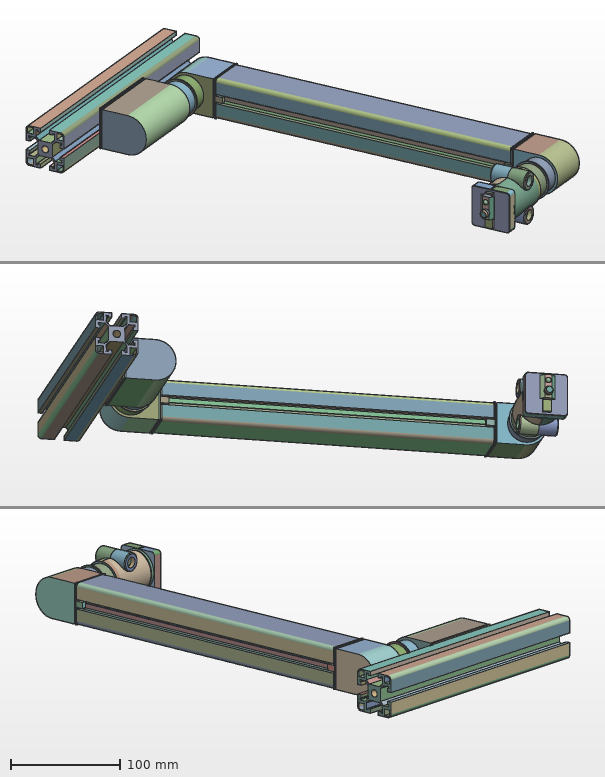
import cadquery as cq

TOTAL_LENGTH = 460.0
PROFILE = 40.0
POST_LENGTH = 250.0
JOINT = 39.0
JOINT_REACH = 30.0
CAP_THICKNESS = 1.5
CAP_GROOVE = 1.5
CAP_GROOVE_DEPTH = 0.5
PIVOT_DIAMETER = 34.0
PIVOT_LENGTH = 30.0
RING_DIAMETER = 37.3
RING_THICKNESS = 1.5

CORNER_RADIUS = 3.5
SLOT_WIDTH = 9.0
LIP_THICKNESS = 4.0
LIP_WIDTH = 3.0
SKIN = 2.8
CHANNEL_WIDTH = 19.5
CHANNEL_SHOULDER = 11.0
CHANNEL_FLOOR_WIDTH = 12.5
CORE = 15.0
CORE_BORE = 7.0
CHAMBER_START = 12.5
CHAMBER_WALL = 1.5
FLOOR_GROOVE_WIDTH = 4.0
FLOOR_GROOVE_DEPTH = 1.5

NUT_LENGTH = 22.5
TONGUE_WIDTH = 6.0
TONGUE_LENGTH = 7.0
ANCHOR_WIDTH = 15.0
ANCHOR_THICKNESS = 1.5
ANCHOR_RIDGE_WIDTH = 11.0
ANCHOR_RIDGE_HEIGHT = 5.5
ANCHOR_RIDGE_LENGTH = 18.5

TOTAL_HEIGHT = 52.0
CLAMP_BOTTOM_Y = -30.0
CLAMP_SHELF_Y = -26.5
CLAMP_GAP = 1.0
CLAMP_CORNER_RADIUS = 3.5
CLAMP_TAPER_LENGTH = 4.0
CLAMP_TAPER_INSET = 0.7
BOSS_DIAMETER = 18.0
BOSS_LENGTH = 36.5
BOSS_CHAMFER = 1.0
SCREW_HOLE_DIAMETER = 10.0
SCREW_HOLE_DEPTH = 4.5

PLATE_THICKNESS = 9.5
PLATE_CORNER_RADIUS = 3.0
PLATE_CHAMFER = 0.5
PLATE_MARK_WIDTH = 1.0
PLATE_MARK_DEPTH = 0.5
RAIL_WIDTH = 8.0
RAIL_LENGTH = 35.0
RAIL_DEPTH = 3.0
TOOL_NUT_OFFSET = 4.85
TOOL_NUT_WIDTH = 14.0
TOOL_NUT_FACE_WIDTH = 7.0
TOOL_NUT_SEAT = 5.0
TOOL_NUT_TAPER = 3.5
SCREW_DIAMETER = 8.0
SCREW_LENGTH = 14.0
SCREW_TIP_LENGTH = 2.5
SCREW_TIP_INSET = 1.0
BALL_DIAMETER = 5.0
BALL_HEIGHT = 10.5

HALF = PROFILE / 2
POST_X = -TOTAL_LENGTH / 2 + HALF
POST_FACE_X = POST_X + HALF
NEAR_PIVOT_X = POST_FACE_X + JOINT_REACH
FAR_PIVOT_X = TOTAL_LENGTH / 2 - HALF
MOUNT_LENGTH = 2 * PROFILE
MOUNT_TOP_Y = PROFILE / 2
MOUNT_CENTRE_Y = MOUNT_TOP_Y - MOUNT_LENGTH / 2
ARM_Y = MOUNT_TOP_Y + PIVOT_LENGTH + HALF
ARM_START_X = NEAR_PIVOT_X + JOINT_REACH
ARM_LENGTH = FAR_PIVOT_X - JOINT_REACH - ARM_START_X
BOSS_Z = (TOTAL_HEIGHT - BOSS_DIAMETER) / 2
PLATE_FACE_Y = CLAMP_BOTTOM_Y - PLATE_THICKNESS


def along_y(diameter, start_y, end_y, x):
    """Cylinder parallel to Y between two Y positions."""
    plane = cq.Plane(origin=(x, start_y, 0), xDir=(1, 0, 0), normal=(0, 1, 0))
    return cq.Workplane(plane).circle(diameter / 2).extrude(end_y - start_y)


def slot_channel(length):
    """Undercut channel behind one side of the section, on the +Y side."""
    floor = CHANNEL_FLOOR_WIDTH / 2
    wall = CHANNEL_WIDTH / 2
    lip = SLOT_WIDTH / 2 + LIP_WIDTH
    right_side = [
        (floor, CORE / 2),
        (wall, CHANNEL_SHOULDER),
        (wall, HALF - SKIN),
        (lip, HALF - SKIN),
        (lip, HALF - LIP_THICKNESS),
    ]
    left_side = [(-x, y) for x, y in reversed(right_side)]
    return cq.Workplane("XY").polyline(right_side + left_side).close().extrude(length)


def slot_mouth(length):
    """Opening of a slot through the lips, on the +Y side."""
    mouth_y = HALF - LIP_THICKNESS / 2
    return cq.Workplane("XY").center(0, mouth_y).rect(SLOT_WIDTH, LIP_THICKNESS).extrude(length)


def corner_chamber(length):
    """Hollow of one corner of the section."""
    size = HALF - CHAMBER_WALL - CHAMBER_START
    centre = CHAMBER_START + size / 2
    chamber = cq.Workplane("XY").center(centre, centre).rect(size, size).extrude(length)
    return chamber.edges("|Z and >X and >Y").fillet(CORNER_RADIUS - CHAMBER_WALL)


def extrusion(length, open_sides):
    """Slotted square extrusion along +Z; open_sides are the angles from +Y of the open slots."""
    body = cq.Workplane("XY").rect(PROFILE, PROFILE).extrude(length)
    body = body.edges("|Z").fillet(CORNER_RADIUS)
    body = body.cut(cq.Workplane("XY").circle(CORE_BORE / 2).extrude(length))
    for angle in (0, 90, 180, 270):
        body = body.cut(slot_channel(length).rotate((0, 0, 0), (0, 0, 1), angle))
        body = body.cut(corner_chamber(length).rotate((0, 0, 0), (0, 0, 1), angle))
    for angle in open_sides:
        body = body.cut(slot_mouth(length).rotate((0, 0, 0), (0, 0, 1), angle))
    return body


def build_post():
    """Extrusion along Y with a slot in all four sides."""
    body = extrusion(POST_LENGTH, (0, 90, 180, 270))
    return body.rotate((0, 0, 0), (1, 0, 0), 90).translate((POST_X, POST_LENGTH / 2, 0))


def build_arm():
    """Extrusion along X with slots in the two Y sides and a groove in each slot floor."""
    body = extrusion(ARM_LENGTH, (0, 180))
    grooves = (
        cq.Workplane("XY")
        .pushPoints([(0, CORE / 2), (0, -CORE / 2)])
        .rect(FLOOR_GROOVE_WIDTH, 2 * FLOOR_GROOVE_DEPTH)
        .extrude(ARM_LENGTH)
    )
    body = body.cut(grooves).rotate((0, 0, 0), (0, 1, 0), 90)
    return body.translate((ARM_START_X, ARM_Y, 0))


def joint_block(length):
    """D-shaped block centred on the origin, pivot axis along Y, flat capped end toward +X."""
    groove_end = JOINT_REACH - CAP_THICKNESS
    flat = groove_end - CAP_GROOVE
    block = cq.Workplane("XY").box(flat, length, JOINT).translate((flat / 2, 0, 0))
    block = block.union(along_y(JOINT, -length / 2, length / 2, 0))
    neck = cq.Workplane("XY").box(
        CAP_GROOVE, length - 2 * CAP_GROOVE_DEPTH, JOINT - 2 * CAP_GROOVE_DEPTH
    )
    block = block.union(neck.translate((flat + CAP_GROOVE / 2, 0, 0)))
    cap = cq.Workplane("XY").box(CAP_THICKNESS, length, PROFILE)
    return block.union(cap.translate((groove_end + CAP_THICKNESS / 2, 0, 0)))


def slot_anchor():
    """Tongue, flange and pointed ridge that hold the mount in the post's slot."""
    face = cq.Plane(origin=(POST_FACE_X, MOUNT_CENTRE_Y, 0), xDir=(0, 0, 1), normal=(-1, 0, 0))
    flange_top = LIP_THICKNESS + ANCHOR_THICKNESS
    tongue = cq.Workplane(face).rect(TONGUE_WIDTH, NUT_LENGTH).extrude(LIP_THICKNESS)
    flange = (
        cq.Workplane(face)
        .workplane(offset=LIP_THICKNESS)
        .rect(ANCHOR_WIDTH, NUT_LENGTH)
        .extrude(ANCHOR_THICKNESS)
    )
    base_x = POST_FACE_X - flange_top
    ridge_end = cq.Plane(
        origin=(base_x, MOUNT_CENTRE_Y + ANCHOR_RIDGE_LENGTH / 2, 0), xDir=(1, 0, 0), normal=(0, -1, 0)
    )
    ridge = (
        cq.Workplane(ridge_end)
        .polyline([
            (0, ANCHOR_RIDGE_WIDTH / 2),
            (-ANCHOR_RIDGE_HEIGHT, 0),
            (0, -ANCHOR_RIDGE_WIDTH / 2),
        ])
        .close()
        .extrude(ANCHOR_RIDGE_LENGTH)
    )
    return tongue.union(flange).union(ridge)


def build_mount():
    """Joint block on the post, held by an anchor in the post's slot."""
    block = joint_block(MOUNT_LENGTH).rotate((0, 0, 0), (0, 1, 0), 180)
    block = block.translate((NEAR_PIVOT_X, MOUNT_CENTRE_Y, 0))
    return block.union(slot_anchor())


def build_bracket(pivot_x, facing):
    """Joint block at one arm end with its pivot; facing is the angle of its flat end about Y."""
    block = joint_block(PROFILE)
    tongue = cq.Workplane("XY").box(TONGUE_LENGTH, LIP_THICKNESS, TONGUE_WIDTH)
    for side in (-1, 1):
        tongue_y = side * (HALF - LIP_THICKNESS / 2)
        block = block.union(tongue.translate((JOINT_REACH + TONGUE_LENGTH / 2, tongue_y, 0)))
    block = block.rotate((0, 0, 0), (0, 1, 0), facing).translate((pivot_x, ARM_Y, 0))
    pivot_end = MOUNT_TOP_Y + PIVOT_LENGTH
    ring_start = MOUNT_TOP_Y + (PIVOT_LENGTH - RING_THICKNESS) / 2
    pivot = along_y(PIVOT_DIAMETER, MOUNT_TOP_Y, pivot_end, pivot_x)
    ring = along_y(RING_DIAMETER, ring_start, ring_start + RING_THICKNESS, pivot_x)
    return block.union(pivot).union(ring)


def clamp_blank():
    """Whole clamp before it is split: tapered cylinder with two crosswise screw bosses."""
    body = along_y(JOINT, CLAMP_BOTTOM_Y, MOUNT_TOP_Y, FAR_PIVOT_X)
    body = body.faces(">Y").chamfer(CLAMP_TAPER_LENGTH, CLAMP_TAPER_INSET)
    boss_start = FAR_PIVOT_X - BOSS_LENGTH / 2
    for boss_z in (-BOSS_Z, BOSS_Z):
        boss = (
            cq.Workplane("YZ", origin=(boss_start, 0, boss_z))
            .circle(BOSS_DIAMETER / 2)
            .extrude(BOSS_LENGTH)
            .faces("<X or >X")
            .chamfer(BOSS_CHAMFER)
        )
        body = body.union(boss)
    for boss_z in (-BOSS_Z, BOSS_Z):
        for hole_start in (boss_start, boss_start + BOSS_LENGTH - SCREW_HOLE_DEPTH):
            hole = (
                cq.Workplane("YZ", origin=(hole_start, 0, boss_z))
                .circle(SCREW_HOLE_DIAMETER / 2)
                .extrude(SCREW_HOLE_DEPTH)
            )
            body = body.cut(hole)
    return body


def loose_half_space(bottom_y):
    """Space on the -X side of the pivot axis down to bottom_y, with a rounded inner corner."""
    height = MOUNT_TOP_Y - bottom_y
    centre = (FAR_PIVOT_X - HALF, bottom_y + height / 2, 0)
    space = cq.Workplane("XY").box(PROFILE, height, 2 * TOTAL_HEIGHT).translate(centre)
    return space.edges("|Z and >X and <Y").fillet(CLAMP_CORNER_RADIUS)


def build_fixed_clamp():
    """Half of the clamp with the full-round base below the shelf."""
    return clamp_blank().cut(loose_half_space(CLAMP_SHELF_Y))


def build_loose_clamp():
    """Half of the clamp that stands a small gap above the shelf."""
    return clamp_blank().intersect(loose_half_space(CLAMP_SHELF_Y + CLAMP_GAP))


def tool_nut():
    """Tapered nut on the plate face, long in Z, with its stem."""
    top_z = TOOL_NUT_OFFSET + NUT_LENGTH / 2
    seat_y = PLATE_FACE_Y - TOOL_NUT_SEAT
    face_y = seat_y - TOOL_NUT_TAPER
    outline = [
        (RAIL_WIDTH / 2, PLATE_FACE_Y),
        (RAIL_WIDTH / 2, seat_y),
        (TOOL_NUT_WIDTH / 2, seat_y),
        (TOOL_NUT_FACE_WIDTH / 2, face_y),
    ]
    mirrored = [(-x, y) for x, y in reversed(outline)]
    base = cq.Workplane("XY", origin=(FAR_PIVOT_X, 0, top_z))
    return base.polyline(outline + mirrored).close().extrude(-NUT_LENGTH)


def build_tool_plate():
    """Square plate with a locating rail, a slot nut with its screw, and a spring ball."""
    centre_y = CLAMP_BOTTOM_Y - PLATE_THICKNESS / 2
    plate = cq.Workplane("XY").box(PROFILE, PLATE_THICKNESS, PROFILE)
    plate = plate.edges("|Y").fillet(PLATE_CORNER_RADIUS).faces("<Y").chamfer(PLATE_CHAMFER)
    mark = cq.Workplane("XY").box(PLATE_MARK_WIDTH, PLATE_THICKNESS, 2 * PLATE_MARK_DEPTH)
    plate = plate.cut(mark.translate((0, 0, HALF))).translate((FAR_PIVOT_X, centre_y, 0))

    rail_y = PLATE_FACE_Y - RAIL_DEPTH / 2
    rail = cq.Workplane("XY").box(RAIL_WIDTH, RAIL_DEPTH, RAIL_LENGTH)
    plate = plate.union(rail.translate((FAR_PIVOT_X, rail_y, 0))).union(tool_nut())

    screw = along_y(SCREW_DIAMETER, PLATE_FACE_Y - SCREW_LENGTH, PLATE_FACE_Y, FAR_PIVOT_X)
    screw = screw.faces("<Y").chamfer(SCREW_TIP_LENGTH, SCREW_TIP_INSET)
    ball_y = PLATE_FACE_Y - TOOL_NUT_SEAT - TOOL_NUT_TAPER
    ball = cq.Workplane("XY").sphere(BALL_DIAMETER / 2).translate((FAR_PIVOT_X, ball_y, BALL_HEIGHT))
    return plate.union(screw).union(ball)


post = build_post()
arm = build_arm()
mount = build_mount()
brackets = [build_bracket(x, facing) for x, facing in ((NEAR_PIVOT_X, 0), (FAR_PIVOT_X, 180))]
fixed_clamp = build_fixed_clamp()
loose_clamp = build_loose_clamp()
tool_plate = build_tool_plate()

result = cq.Compound.makeCompound([
    post.val(),
    arm.val(),
    mount.val(),
    *[bracket.val() for bracket in brackets],
    fixed_clamp.val(),
    loose_clamp.val(),
    tool_plate.val(),
])